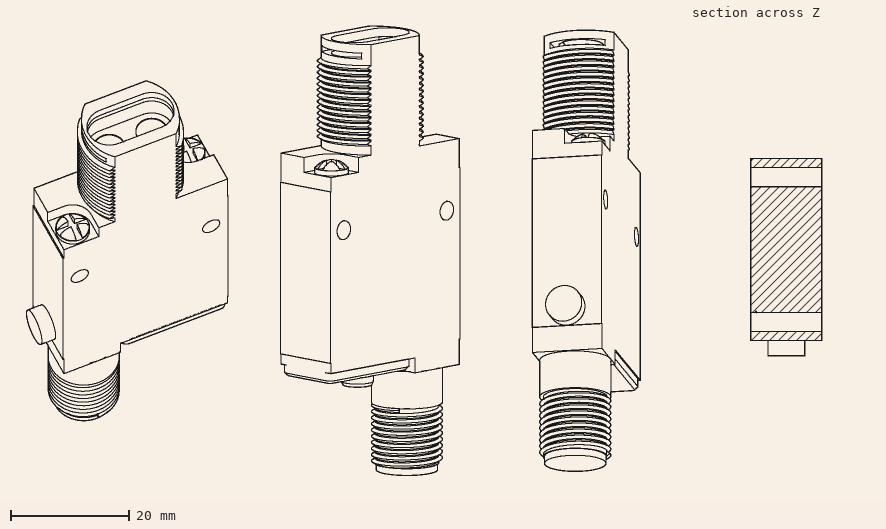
import cadquery as cq

WIDTH = 12.04
LENGTH = 30.77
TOTAL_HEIGHT = 75.93
BLOCK_BOTTOM = 22.39
BLOCK_TOP = 51.9
CAP_TOP = 56.93

FRONT_SETBACK = 0.2
REAR_SETBACK = 0.1
END_FRONT_Y = FRONT_SETBACK - LENGTH / 2
END_REAR_Y = LENGTH / 2 - REAR_SETBACK

CROSS_HOLE_DIAMETER = 3.2
CROSS_HOLE_SPACING = 24.46
CROSS_HOLE_Z = 44.9

NOSE_CORE_DIAMETER = 16.6
NOSE_THREAD_DIAMETER = 18.0
NOSE_THREAD_PITCH = 1.0
NOSE_THREAD_START_ANGLE = -160
NOSE_THREAD_BOTTOM = 58.1
NOSE_THREAD_TOP = 72.6
WINDOW_WIDTH = 7.54
LENS_SPACING = 7.9
WINDOW_DEPTH = 6.0
LENS_DIAMETER = 5.36
LENS_DEPTH = 0.2
NOSE_SLOT_WIDTH = 9.5
NOSE_SLOT_BOTTOM = 73.44
NOSE_SLOT_TOP = 74.43

SCREW_X = 2.98
SCREW_Y = 12.15
SCREW_RADIUS = 2.86
SCREW_DOME_RADIUS = 2.75
SCREW_POCKET_RADIUS = 3.45
SCREW_POCKET_FLOOR = 54.36
SCREW_RIM_HEIGHT = 0.85
SCREW_DOME_HEIGHT = 1.4
SCREW_SLOT_WIDTH = 1.15

BUTTON_DIAMETER = 6.25
BUTTON_Z = 25.55
BUTTON_LENGTH = 2.55

BASE_STEP_Z = 20.61
BASE_BOTTOM = 18.04
BASE_STEP_Y = -4.64

COVER_END_Y = -4.08
COVER_BOTTOM = 18.7
COVER_SIDE_GAP = 0.2
COVER_CORNER_RADIUS = 1.16
COVER_CHAMFER = 0.55
COVER_SCREW_X = -2.7
COVER_SCREW_Y = 5.73
COVER_SCREW_DIAMETER = 5.45
COVER_SCREW_BOTTOM = 17.0
COVER_SCREW_TAPER = 0.25
COVER_SCREW_TAPER_HEIGHT = 0.6

CONNECTOR_Y = -8.71
CONNECTOR_DIAMETER = WIDTH
CONNECTOR_CORE_DIAMETER = 10.8
CONNECTOR_SHANK_BOTTOM = 11.62
CONNECTOR_TIP_DIAMETER = 10.4
CONNECTOR_TIP_HEIGHT = 1.2
CONNECTOR_THREAD_PITCH = 1.06
CONNECTOR_THREAD_BOTTOM = 1.4
CONNECTOR_THREAD_TOP = 11.3

THREAD_ROOT_GAP = 0.06
THREAD_OVERLAP = 0.1

def block_between(x_min, x_max, y_min, y_max, z_min, z_max):
    """Axis-aligned block from its limits."""
    size = (x_max - x_min, y_max - y_min, z_max - z_min)
    return cq.Workplane("XY").box(*size, centered=False).translate((x_min, y_min, z_min))

def cylinder(diameter, z_min, z_max, x=0, y=0):
    """Upright cylinder."""
    return cq.Workplane("XY", origin=(x, y, z_min)).circle(diameter / 2).extrude(z_max - z_min)

def thread_ridge(core_diameter, crest_diameter, pitch, z_bottom, z_top):
    """Right-hand helical ridge with a triangular section, rooted just inside the core."""
    root = core_diameter / 2 - THREAD_OVERLAP
    crest = crest_diameter / 2
    half_width = (pitch - THREAD_ROOT_GAP) / 2
    height = z_top - z_bottom
    helix = cq.Wire.makeHelix(pitch, height, root)
    section = [(root, -half_width), (crest, 0), (root, half_width)]
    ridge = cq.Workplane("XZ").polyline(section).close().sweep(cq.Workplane(helix), isFrenet=True)
    return ridge.translate((0, 0, z_bottom))

def make_block():
    """Main block and cap, with the two cross holes."""
    half_x = WIDTH / 2
    half_y = LENGTH / 2
    block = block_between(-half_x, half_x, -half_y, half_y, BLOCK_BOTTOM, BLOCK_TOP)
    cap = block_between(-half_x, half_x, END_FRONT_Y, END_REAR_Y, BLOCK_TOP, CAP_TOP)
    holes = (
        cq.Workplane("YZ", origin=(-half_x, 0, CROSS_HOLE_Z))
        .rarray(CROSS_HOLE_SPACING, 1, 2, 1)
        .circle(CROSS_HOLE_DIAMETER / 2)
        .extrude(WIDTH)
    )
    return block.union(cap).cut(holes)

def make_nose():
    """Threaded nose cut to two flats, with its cross slot and obround window."""
    core = cylinder(NOSE_CORE_DIAMETER, CAP_TOP, TOTAL_HEIGHT)
    ridge = thread_ridge(
        NOSE_CORE_DIAMETER,
        NOSE_THREAD_DIAMETER,
        NOSE_THREAD_PITCH,
        NOSE_THREAD_BOTTOM,
        NOSE_THREAD_TOP,
    )
    ridge = ridge.rotate((0, 0, 0), (0, 0, 1), NOSE_THREAD_START_ANGLE)
    reach = NOSE_THREAD_DIAMETER
    flats = block_between(-WIDTH / 2, WIDTH / 2, -reach, reach, CAP_TOP, TOTAL_HEIGHT)
    slot_half = NOSE_SLOT_WIDTH / 2
    slot = block_between(-slot_half, slot_half, -reach, reach, NOSE_SLOT_BOTTOM, NOSE_SLOT_TOP)
    window_floor = TOTAL_HEIGHT - WINDOW_DEPTH
    window = (
        cq.Workplane("XY", origin=(0, 0, window_floor))
        .slot2D(LENS_SPACING + WINDOW_WIDTH, WINDOW_WIDTH, 90)
        .extrude(WINDOW_DEPTH)
    )
    nose = core.union(ridge).intersect(flats).cut(slot).cut(window)
    for side in (-1, 1):
        lens_y = side * LENS_SPACING / 2
        nose = nose.cut(cylinder(LENS_DIAMETER, window_floor - LENS_DEPTH, window_floor, y=lens_y))
    return nose

def make_screw_pocket():
    """Pocket for the screw in the -X, +Y corner, rounded around the screw."""
    pocket = block_between(
        -WIDTH,
        SCREW_POCKET_RADIUS - SCREW_X,
        SCREW_Y - SCREW_POCKET_RADIUS,
        LENGTH,
        SCREW_POCKET_FLOOR,
        CAP_TOP,
    )
    return pocket.edges("|Z and >X and <Y").fillet(SCREW_POCKET_RADIUS)

def make_screw():
    """Domed cross-slot head of the screw in the -X, +Y corner."""
    rim_z = SCREW_POCKET_FLOOR + SCREW_RIM_HEIGHT
    dome_top_z = rim_z + SCREW_DOME_HEIGHT
    ball_radius = (SCREW_DOME_RADIUS**2 + SCREW_DOME_HEIGHT**2) / (2 * SCREW_DOME_HEIGHT)
    ball = cq.Workplane("XY").sphere(ball_radius).translate((0, 0, dome_top_z - ball_radius))
    dome = cylinder(2 * SCREW_RADIUS, rim_z, dome_top_z).intersect(ball)
    head = cylinder(2 * SCREW_RADIUS, SCREW_POCKET_FLOOR, rim_z).union(dome)
    for length_x, length_y in ((2 * SCREW_RADIUS, SCREW_SLOT_WIDTH), (SCREW_SLOT_WIDTH, 2 * SCREW_RADIUS)):
        slot = cq.Workplane("XY", origin=(0, 0, rim_z)).rect(length_x, length_y)
        head = head.cut(slot.extrude(SCREW_DOME_HEIGHT))
    return head.translate((-SCREW_X, SCREW_Y, 0))

def make_button():
    """Round push button standing out from the -Y face."""
    button = cq.Workplane("XZ", origin=(0, -LENGTH / 2, BUTTON_Z)).circle(BUTTON_DIAMETER / 2)
    return button.extrude(BUTTON_LENGTH)

def make_base():
    """Stepped base: thin over the cover plate, deeper around the connector."""
    half_x = WIDTH / 2
    thin_part = block_between(-half_x, half_x, END_FRONT_Y, END_REAR_Y, BASE_STEP_Z, BLOCK_BOTTOM)
    deep_part = block_between(-half_x, half_x, END_FRONT_Y, BASE_STEP_Y, BASE_BOTTOM, BLOCK_BOTTOM)
    return thin_part.union(deep_part)

def make_cover():
    """Cover plate with rounded corners, chamfered lower rim and a screw head."""
    half_x = WIDTH / 2 - COVER_SIDE_GAP
    plate = block_between(-half_x, half_x, COVER_END_Y, END_REAR_Y, COVER_BOTTOM, BASE_STEP_Z)
    plate = plate.edges("|Z").fillet(COVER_CORNER_RADIUS).faces("<Z").chamfer(COVER_CHAMFER)
    radius = COVER_SCREW_DIAMETER / 2
    tip_radius = radius - COVER_SCREW_TAPER
    taper_top = COVER_SCREW_BOTTOM + COVER_SCREW_TAPER_HEIGHT
    half_profile = [
        (0, COVER_SCREW_BOTTOM),
        (tip_radius, COVER_SCREW_BOTTOM),
        (radius, taper_top),
        (radius, COVER_BOTTOM),
        (0, COVER_BOTTOM),
    ]
    screw = cq.Workplane("XZ").polyline(half_profile).close().revolve()
    return plate.union(screw.translate((COVER_SCREW_X, COVER_SCREW_Y, 0)))

def make_connector():
    """Threaded round connector hanging from the deep part of the base."""
    shank = cylinder(CONNECTOR_DIAMETER, CONNECTOR_SHANK_BOTTOM, BASE_BOTTOM)
    core = cylinder(CONNECTOR_CORE_DIAMETER, CONNECTOR_TIP_HEIGHT, CONNECTOR_SHANK_BOTTOM)
    tip = cylinder(CONNECTOR_TIP_DIAMETER, 0, CONNECTOR_TIP_HEIGHT)
    ridge = thread_ridge(
        CONNECTOR_CORE_DIAMETER,
        CONNECTOR_DIAMETER,
        CONNECTOR_THREAD_PITCH,
        CONNECTOR_THREAD_BOTTOM,
        CONNECTOR_THREAD_TOP,
    )
    return core.union(ridge).union(shank).union(tip).translate((0, CONNECTOR_Y, 0))

def both_corners(feature):
    """The feature and its copy turned half a turn about Z, in the opposite corner."""
    return feature.union(feature.rotate((0, 0, 0), (0, 0, 1), 180))

result = make_block().cut(both_corners(make_screw_pocket()))
result = result.union(both_corners(make_screw()))
for piece in (make_nose(), make_button(), make_base(), make_cover(), make_connector()):
    result = result.union(piece)